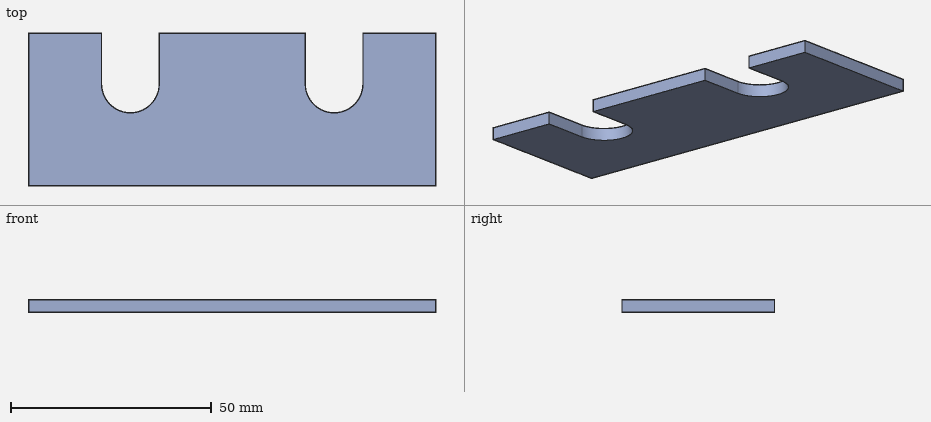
import cadquery as cq

length = 101.6
width = 38.1
thickness = 3.1

slot_width = 14.3
slot_center_depth = 12.7
slot_spacing = length / 2

slot_radius = slot_width / 2
back_edge = width / 2
slot_center_y = back_edge - slot_center_depth


def open_slot(center_x):
    """Cutter for one slot: straight sides with a half-round inner end."""
    left = center_x - slot_radius
    right = center_x + slot_radius
    return (
        cq.Workplane("XY")
        .moveTo(left, back_edge)
        .lineTo(left, slot_center_y)
        .threePointArc((center_x, slot_center_y - slot_radius), (right, slot_center_y))
        .lineTo(right, back_edge)
        .close()
        .extrude(thickness)
    )


result = cq.Workplane("XY").box(length, width, thickness, centered=(True, True, False))
for side in (-1, 1):
    result = result.cut(open_slot(side * slot_spacing / 2))